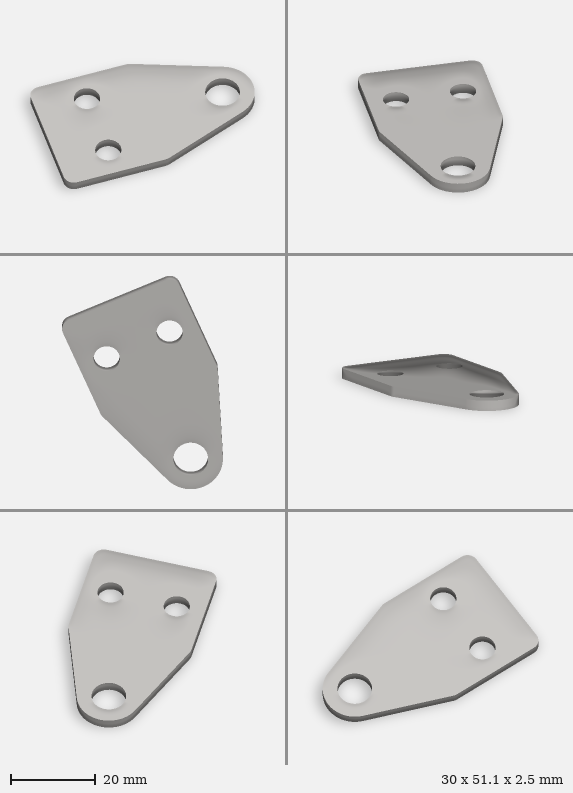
import cadquery as cq
import math

width = 30.0
length = 51.14
thickness = 2.5
nose_radius = 7.6
shoulder_y = 25.0
corner_radius = 2.5
nose_hole_diameter = 8.2
mount_hole_diameter = 6.2
mount_hole_spacing = 16.2
mount_hole_y = 12.5

half_width = width / 2
nose_y = length - nose_radius

shoulder_to_nose = math.hypot(half_width, nose_y - shoulder_y)
taper_angle = math.atan2(half_width, nose_y - shoulder_y) - math.asin(nose_radius / shoulder_to_nose)
tangent_x = nose_radius * math.cos(taper_angle)
tangent_y = nose_y + nose_radius * math.sin(taper_angle)


def make_plate():
    """Tapered plate with a round nose and rounded base and shoulder corners."""
    plate = (
        cq.Workplane("XY")
        .moveTo(-half_width, 0)
        .lineTo(half_width, 0)
        .lineTo(half_width, shoulder_y)
        .lineTo(tangent_x, tangent_y)
        .threePointArc((0, length), (-tangent_x, tangent_y))
        .lineTo(-half_width, shoulder_y)
        .close()
        .extrude(thickness)
    )
    corners = [(side * half_width, y) for side in (-1, 1) for y in (0, shoulder_y)]
    for x, y in corners:
        corner_edge = cq.selectors.NearestToPointSelector((x, y, thickness / 2))
        plate = plate.edges(corner_edge).fillet(corner_radius)
    return plate


def make_holes():
    """Through cutters for the nose hole and the pair of mounting holes."""
    nose_hole = (
        cq.Workplane("XY")
        .center(0, nose_y)
        .circle(nose_hole_diameter / 2)
        .extrude(thickness)
    )
    mount_holes = (
        cq.Workplane("XY")
        .pushPoints([(side * mount_hole_spacing / 2, mount_hole_y) for side in (-1, 1)])
        .circle(mount_hole_diameter / 2)
        .extrude(thickness)
    )
    return nose_hole.union(mount_holes)


result = make_plate().cut(make_holes())